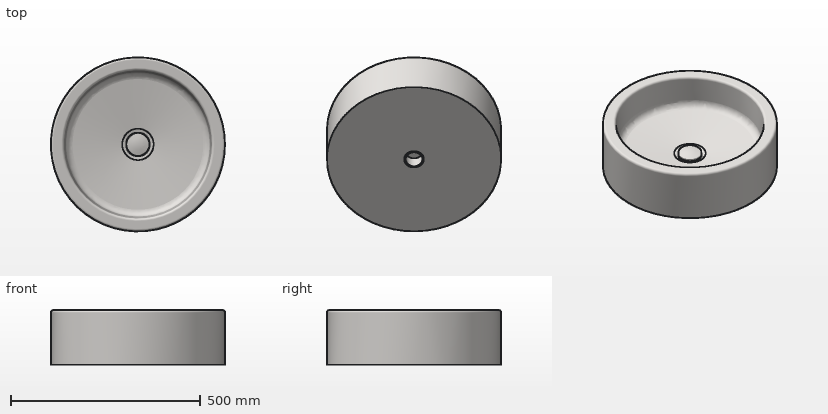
import cadquery as cq
import math

OUTER_RADIUS = 230.0
HEIGHT = 145.0
RIM_FILLET = 7.0
WALL_TOP_RADIUS = 195.5
FLOOR_EDGE_RADIUS = 189.0
FLOOR_FILLET = 20.2
FLOOR_SLOPE = 6.2

FLANGE_RADIUS = 41.5
FLANGE_TOP = 42.0
FLANGE_THICKNESS = 8.5
MOUTH_RADIUS = 31.5
MOUTH_ROUNDING = 2.0
MOUTH_DROP = 2.0
SEAT_Z = 37.0
TAIL_RADIUS = 52.0 / 2
BORE_RADIUS = 44.0 / 2

CAP_RADIUS = 30.5
CAP_EDGE_Z = 45.0
DOME_RISE = 4.0
CAP_EDGE_ROUNDING = 0.5

flange_bottom = FLANGE_TOP - FLANGE_THICKNESS
floor_rise = (FLOOR_EDGE_RADIUS - FLANGE_RADIUS) * math.tan(math.radians(FLOOR_SLOPE))
floor_edge_z = FLANGE_TOP + floor_rise


def revolve_profile(points):
    """Turn a closed outline of (radius, Z) points around the Z axis."""
    return cq.Workplane("XZ").polyline(points).close().revolve(360, (0, 0, 0), (0, 1, 0))


def circle_at(radius, z):
    """Select the circular edge of the given radius around the Z axis at height z."""
    tolerance = 0.05
    reach = radius + tolerance
    return cq.selectors.BoxSelector(
        (-reach, -reach, z - tolerance), (reach, reach, z + tolerance), boundingbox=True
    )


def make_basin():
    basin = revolve_profile([
        (TAIL_RADIUS, 0),
        (OUTER_RADIUS, 0),
        (OUTER_RADIUS, HEIGHT),
        (WALL_TOP_RADIUS, HEIGHT),
        (FLOOR_EDGE_RADIUS, floor_edge_z),
        (FLANGE_RADIUS, FLANGE_TOP),
        (FLANGE_RADIUS, flange_bottom),
        (TAIL_RADIUS, flange_bottom),
    ])
    basin = basin.faces(">Z").edges().fillet(RIM_FILLET)
    return basin.edges(circle_at(FLOOR_EDGE_RADIUS, floor_edge_z)).fillet(FLOOR_FILLET)


def make_drain():
    mouth_z = FLANGE_TOP - MOUTH_DROP
    drain = revolve_profile([
        (BORE_RADIUS, 0),
        (TAIL_RADIUS, 0),
        (TAIL_RADIUS, flange_bottom),
        (FLANGE_RADIUS, flange_bottom),
        (FLANGE_RADIUS, FLANGE_TOP),
        (MOUTH_RADIUS, mouth_z),
        (MOUTH_RADIUS, SEAT_Z),
        (BORE_RADIUS, SEAT_Z),
    ])
    return drain.edges(circle_at(MOUTH_RADIUS, mouth_z)).fillet(MOUTH_ROUNDING)


def make_plug():
    sphere_radius = (CAP_RADIUS**2 + DOME_RISE**2) / (2 * DOME_RISE)
    apex_z = CAP_EDGE_Z + DOME_RISE
    dome = cq.Workplane("XY").sphere(sphere_radius).translate((0, 0, apex_z - sphere_radius))
    cap = cq.Workplane("XY").workplane(offset=SEAT_Z).circle(CAP_RADIUS).extrude(apex_z - SEAT_Z)
    cap = cap.intersect(dome)
    return cap.edges(circle_at(CAP_RADIUS, CAP_EDGE_Z)).fillet(CAP_EDGE_ROUNDING)


basin = make_basin()
drain = make_drain()
plug = make_plug()

result = cq.Compound.makeCompound([basin.val(), drain.val(), plug.val()])